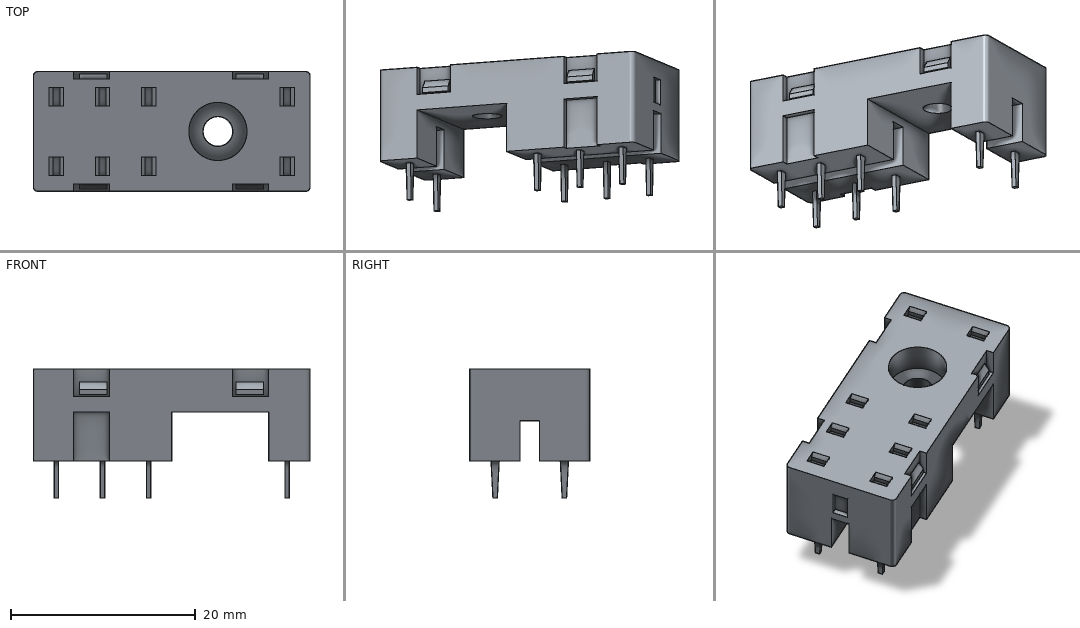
import cadquery as cq


length = 30.0
width = 13.0
height = 10.0
corner_radius = 0.5
end_x = -length / 2
side_y = width / 2

opening_start = end_x + 15.0
opening_end = end_x + 25.5
opening_height = 5.3
slot_width = 2.1
slot_height = 4.35

recess_length = 3.9
recess_depth = 0.8
notch_height = 3.0
front_notch_start = end_x + 4.35
rear_notch_start = opening_end - recess_length

latch_length = 3.0
latch_depth = 0.55
latch_top = height - 1.45
latch_edge = height - 2.25
latch_bottom = height - 2.8
front_latch_start = end_x + 5.0
rear_latch_start = end_x + 21.95

pocket_width = 1.75
pocket_bottom = 5.3
pocket_top = 8.05
pocket_depth = 0.6

hole_x = end_x + 20.0
hole_diameter = 3.2
counterbore_diameter = 6.3
counterbore_depth = 3.2

contact_pitch = 5.0
contact_steps = (0, 1, 2, 5)
first_contact_x = end_x + 2.5
contact_y = 3.75
socket_length = 1.55
socket_width = 2.0
throat_length = 0.75
funnel_depth = 0.4
socket_depth = 0.9

pin_length = 4.0
pin_thickness = 0.5
pin_root_width = 0.9
pin_tip_width = 0.5


def box(x_start, x_end, y_start, y_end, z_start, z_end):
    """Box between two limits on each axis."""
    size = (x_end - x_start, y_end - y_start, z_end - z_start)
    return cq.Workplane("XY").box(*size, centered=False).translate((x_start, y_start, z_start))


def both_sides(shape):
    """The shape together with its mirror image across the XZ plane."""
    return shape.union(shape.mirror("XZ"))


def block():
    blank = cq.Workplane("XY").box(length, width, height, centered=(True, True, False))
    return blank.edges("|Z").fillet(corner_radius)


def underside_cuts():
    opening = box(opening_start, opening_end, -side_y, side_y, 0, opening_height)
    slot = box(end_x, -end_x, -slot_width / 2, slot_width / 2, 0, slot_height)
    return opening.union(slot)


def side_recess(x_start, z_start, z_end):
    return both_sides(
        box(x_start, x_start + recess_length, -side_y, -side_y + recess_depth, z_start, z_end)
    )


def latch(x_start):
    floor_y = -side_y + recess_depth
    edge_y = floor_y - latch_depth
    profile = [
        (floor_y, latch_top),
        (edge_y, latch_edge),
        (edge_y, latch_bottom),
        (floor_y, latch_bottom),
    ]
    wedge = cq.Workplane("YZ", origin=(x_start, 0, 0)).polyline(profile).close().extrude(latch_length)
    return both_sides(wedge)


def end_pocket():
    half_width = pocket_width / 2
    return box(end_x, end_x + pocket_depth, -half_width, half_width, pocket_bottom, pocket_top)


def mounting_hole():
    hole = cq.Workplane("XY").circle(hole_diameter / 2).extrude(height)
    counterbore = (
        cq.Workplane("XY", origin=(0, 0, height)).circle(counterbore_diameter / 2).extrude(-counterbore_depth)
    )
    return hole.union(counterbore).translate((hole_x, 0, 0))


def socket(x, y):
    """Rectangular socket whose two end walls flare outward at the mouth."""
    mouth = socket_length / 2
    throat = throat_length / 2
    profile = [
        (-mouth, height),
        (-throat, height - funnel_depth),
        (-throat, height - socket_depth),
        (throat, height - socket_depth),
        (throat, height - funnel_depth),
        (mouth, height),
    ]
    solid = cq.Workplane("XZ").polyline(profile).close().extrude(socket_width / 2, both=True)
    return solid.translate((x, y, 0))


def pin(x, y):
    profile = [
        (-pin_root_width / 2, 0),
        (pin_root_width / 2, 0),
        (pin_tip_width / 2, -pin_length),
        (-pin_tip_width / 2, -pin_length),
    ]
    solid = cq.Workplane("YZ").polyline(profile).close().extrude(pin_thickness / 2, both=True)
    return solid.translate((x, y, 0))


result = block().cut(underside_cuts()).cut(end_pocket()).cut(mounting_hole())

result = result.cut(side_recess(front_notch_start, 0, opening_height))
for notch_start in (front_notch_start, rear_notch_start):
    result = result.cut(side_recess(notch_start, height - notch_height, height))
for latch_start in (front_latch_start, rear_latch_start):
    result = result.union(latch(latch_start))

for step in contact_steps:
    for contact_side in (-contact_y, contact_y):
        contact_x = first_contact_x + step * contact_pitch
        result = result.cut(socket(contact_x, contact_side))
        result = result.union(pin(contact_x, contact_side))